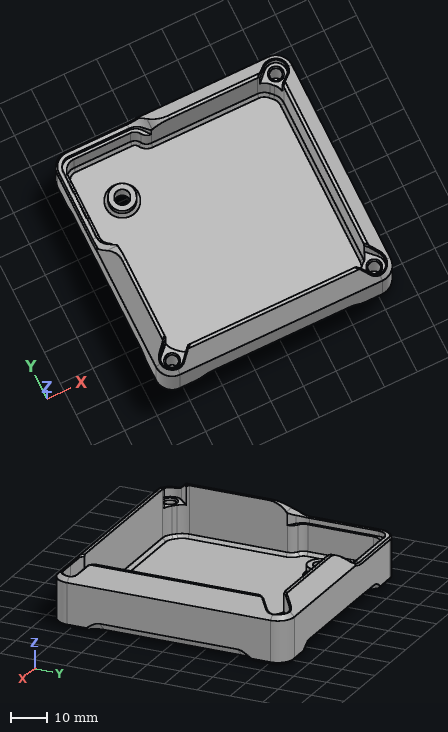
import cadquery as cq
import math

SIDE = 72.0
HEIGHT = 18.0
HALF = SIDE / 2
CORNER_RADIUS = 5.0
TOP_CHAMFER = 4.5
BOTTOM_CHAMFER = 1.0

WALL = 5.5
THIN_WALL = 2.65
FLOOR = 2.4
FLOOR_CHAMFER = 1.0
POST_CUT = 3.64
POST_BLEND_RADIUS = 4.5
THIN_CORNER_RADIUS = 3.5
STEP_LENGTH = 5.0
STEP_START_X = -HALF + 23.5
STEP_START_Y = HALF - 26.1

LOW_RIM = 13.1
RAMP_LENGTH = 10.6
LOW_RIM_CHAMFER = 0.5
LEDGE_HEIGHT = 11.5
LEDGE_WALL = 1.75
LEDGE_BEND_ANGLE = 52.5

POST_INSET = 5.0
POST_TOP = 12.0
POCKET_RADIUS = 3.25
POCKET_EDGE_CHAMFER = 0.5
SCREW_DIAMETER = 3.6
SCREW_MOUTH_DIAMETER = 4.5

BOSS_X = -21.8
BOSS_Y = 19.3
BOSS_DIAMETER = 8.0
BOSS_TOP = 5.7
BOSS_HOLE_DIAMETER = 4.5

RECESS_HEIGHT = 3.0
RECESS_HALF_LENGTH = 21.0
RECESS_TOP_RADIUS = 3.0

INNER = HALF - WALL
THIN_INNER = HALF - THIN_WALL
LEDGE_INNER = HALF - LEDGE_WALL


TOLERANCE = 1e-4


def make_body():
    body = cq.Workplane("XY").box(SIDE, SIDE, HEIGHT, centered=(True, True, False))
    body = body.edges("|Z").fillet(CORNER_RADIUS)
    return body.faces(">Z").chamfer(TOP_CHAMFER).faces("<Z").chamfer(BOTTOM_CHAMFER)


def s_curve_arcs(start, along, across):
    """Two equal tangent arcs leaving and arriving parallel to `along`; returns (mid, end) pairs.

    Lengths are fractions of the two vectors, so the curve ends at start + along + across.
    """
    sx, sy = start
    length = math.hypot(*along)
    rise = math.hypot(*across)
    radius = (length ** 2 + rise ** 2) / (4 * rise)
    half_angle = math.asin(length / 2 / radius) / 2
    run = radius * math.sin(half_angle) / length
    climb = radius * (1 - math.cos(half_angle)) / rise

    def point(u, v):
        return sx + along[0] * u + across[0] * v, sy + along[1] * u + across[1] * v

    return [(point(run, climb), point(0.5, 0.5)), (point(1 - run, 1 - climb), point(1, 1))]


def corner_region(sign_x, sign_y):
    """Selector for what is centred in one corner of the tray, far enough in to hold the post cuts."""
    reach = INNER - 2 * POST_CUT
    near = (sign_x * reach, sign_y * reach, 0)
    far = (sign_x * HALF, sign_y * HALF, HEIGHT)
    return cq.selectors.BoxSelector(near, far)


def make_cavity():
    step = WALL - THIN_WALL
    outline = cq.Workplane("XY", origin=(0, 0, FLOOR))
    outline = outline.moveTo(-THIN_INNER, THIN_INNER).lineTo(STEP_START_X, THIN_INNER)
    for mid, end in s_curve_arcs((STEP_START_X, THIN_INNER), (STEP_LENGTH, 0), (0, -step)):
        outline = outline.threePointArc(mid, end)
    outline = outline.lineTo(INNER - POST_CUT, INNER).lineTo(INNER, INNER - POST_CUT)
    outline = outline.lineTo(INNER, POST_CUT - INNER).lineTo(INNER - POST_CUT, -INNER)
    outline = outline.lineTo(POST_CUT - INNER, -INNER).lineTo(-INNER, POST_CUT - INNER)
    outline = outline.lineTo(-INNER, STEP_START_Y - STEP_LENGTH)
    for mid, end in s_curve_arcs((-INNER, STEP_START_Y - STEP_LENGTH), (0, STEP_LENGTH), (-step, 0)):
        outline = outline.threePointArc(mid, end)
    cavity = outline.close().extrude(HEIGHT - FLOOR)

    for signs in ((1, 1), (1, -1), (-1, -1)):
        cavity = cavity.edges("|Z").edges(corner_region(*signs)).fillet(POST_BLEND_RADIUS)
    cavity = cavity.edges("|Z").edges(corner_region(-1, 1)).fillet(THIN_CORNER_RADIUS)
    return cavity.faces("<Z").chamfer(FLOOR_CHAMFER)


def ramp_cut(plane, start, toward, far_end):
    """Everything above the low rim and the S-shaped ramp that climbs back to full height."""
    cut = cq.Workplane(plane).moveTo(far_end, LOW_RIM).lineTo(start, LOW_RIM)
    for mid, end in s_curve_arcs((start, LOW_RIM), (toward * RAMP_LENGTH, 0), (0, HEIGHT - LOW_RIM)):
        cut = cut.threePointArc(mid, end)
    return cut.lineTo(far_end, HEIGHT).close().extrude(WALL)


def lower_rim(body):
    back = ramp_cut(cq.Plane.XZ((0, HALF, 0)), STEP_START_X, 1, -HALF)
    side = ramp_cut(cq.Plane.YZ((-HALF, 0, 0)), STEP_START_Y, -1, HALF)
    return body.cut(back).cut(side)


def chamfer_low_rim(body):
    """Break the outer edge of the low rim; the tangent ramp edges are selected along with it."""
    low = LOW_RIM - LOW_RIM_CHAMFER
    high = LOW_RIM + LOW_RIM_CHAMFER
    back_end = (STEP_START_X + RAMP_LENGTH / 2, HALF - CORNER_RADIUS / 2)
    side_end = (-HALF + CORNER_RADIUS / 2, STEP_START_Y - RAMP_LENGTH / 2)
    back = cq.selectors.BoxSelector((-HALF, HALF, low), (*back_end, high))
    side = cq.selectors.BoxSelector((-HALF, HALF, low), (*side_end, high))
    return body.edges(back + side).chamfer(LOW_RIM_CHAMFER)


def make_ledge():
    """Strip of rim cleared down to the ledge; each end bends, then runs straight out to the thick wall."""
    bend = math.radians(LEDGE_BEND_ANGLE)
    drop = WALL - LEDGE_WALL
    radius = (STEP_LENGTH * math.sin(bend) - drop * math.cos(bend)) / (1 - math.cos(bend))
    bend_run = radius * math.sin(bend)
    bend_drop = radius * (1 - math.cos(bend))
    mid_run = radius * math.sin(bend / 2)
    mid_drop = radius * (1 - math.cos(bend / 2))

    ledge = cq.Workplane("XY", origin=(0, 0, LEDGE_HEIGHT))
    ledge = ledge.moveTo(-LEDGE_INNER, LEDGE_INNER).lineTo(STEP_START_X, LEDGE_INNER)
    ledge = ledge.threePointArc(
        (STEP_START_X + mid_run, LEDGE_INNER - mid_drop),
        (STEP_START_X + bend_run, LEDGE_INNER - bend_drop),
    )
    ledge = ledge.lineTo(STEP_START_X + STEP_LENGTH, INNER).lineTo(-INNER, INNER)
    ledge = ledge.lineTo(-INNER, STEP_START_Y - STEP_LENGTH)
    ledge = ledge.lineTo(-LEDGE_INNER + bend_drop, STEP_START_Y - bend_run)
    ledge = ledge.threePointArc(
        (-LEDGE_INNER + mid_drop, STEP_START_Y - mid_run),
        (-LEDGE_INNER, STEP_START_Y),
    )
    ledge = ledge.close().extrude(HEIGHT - LEDGE_HEIGHT)
    corner = cq.selectors.NearestToPointSelector((-LEDGE_INNER, LEDGE_INNER, (LEDGE_HEIGHT + HEIGHT) / 2))
    return ledge.edges(corner).fillet(CORNER_RADIUS - LEDGE_WALL)


def make_pocket():
    """Round-ended slot around a screw post, running along +X into the cavity."""
    r = POCKET_RADIUS
    reach = 2 * r
    slot = cq.Workplane("XY").moveTo(0, r).lineTo(reach, r).lineTo(reach, -r).lineTo(0, -r)
    return slot.threePointArc((-r, 0), (0, r)).close().extrude(HEIGHT - POST_TOP)


def make_screw_hole():
    mouth = (SCREW_MOUTH_DIAMETER - SCREW_DIAMETER) / 2
    hole = cq.Workplane("XY", origin=(0, 0, FLOOR)).circle(SCREW_DIAMETER / 2).extrude(POST_TOP - FLOOR)
    cone = cq.Workplane("XY", origin=(0, 0, POST_TOP)).circle(SCREW_MOUTH_DIAMETER / 2)
    return hole.union(cone.extrude(-mouth, taper=45))


def lies_on(edge, face):
    """True when sample points along the edge all lie on the face."""
    points = [edge.positionAt(t).toTuple() for t in (0.25, 0.5, 0.75)]
    return all(face.distance(cq.Vertex.makeVertex(*point)) < TOLERANCE for point in points)


def upper_pocket_edges(part, pocket):
    """Edges where the pocket's upright walls break out through the rim and its outer slope."""
    lowest = HEIGHT - TOP_CHAMFER
    walls = pocket.faces("not(<Z or >Z)").vals()
    found = []
    for edge in part.edges().vals():
        box = edge.BoundingBox()
        upright = max(box.xlen, box.ylen) < TOLERANCE
        if box.zmin < lowest or upright:
            continue
        if any(lies_on(edge, wall) for wall in walls):
            found.append(edge)
    return found


def cut_posts(body):
    centre = HALF - POST_INSET
    for x, y, angle in ((-centre, -centre, 45), (centre, -centre, 135), (centre, centre, 225)):
        pocket = make_pocket().rotate((0, 0, 0), (0, 0, 1), angle).translate((x, y, POST_TOP))
        body = body.cut(pocket)
        body = body.newObject(upper_pocket_edges(body, pocket)).chamfer(POCKET_EDGE_CHAMFER)
        body = body.cut(make_screw_hole().translate((x, y, 0)))
    return body


def add_boss(body):
    """Drilled boss whose foot flares out like the chamfer around the floor."""
    r = BOSS_DIAMETER / 2
    base = cq.Workplane("XY", origin=(BOSS_X, BOSS_Y, FLOOR)).circle(r + FLOOR_CHAMFER)
    boss = cq.Workplane("XY", origin=(BOSS_X, BOSS_Y, FLOOR)).circle(r).extrude(BOSS_TOP - FLOOR)
    body = body.union(base.extrude(FLOOR_CHAMFER, taper=45)).union(boss)
    hole = cq.Workplane("XY", origin=(BOSS_X, BOSS_Y, 0)).circle(BOSS_HOLE_DIAMETER / 2).extrude(BOSS_TOP)
    return body.cut(hole)


def cut_foot_recesses(body):
    bottom_radius = RECESS_TOP_RADIUS + RECESS_HEIGHT
    length = 2 * (RECESS_HALF_LENGTH + bottom_radius)
    recess = cq.Workplane("XY").center(0, -HALF - RECESS_TOP_RADIUS).slot2D(length, 2 * bottom_radius)
    recess = recess.extrude(RECESS_HEIGHT, taper=45)
    for angle in (0, 90, 180, 270):
        body = body.cut(recess.rotate((0, 0, 0), (0, 0, 1), angle))
    return body


body = lower_rim(make_body())
body = chamfer_low_rim(body)
body = body.cut(make_cavity()).cut(make_ledge())
body = cut_posts(body)
body = add_boss(body)
result = cut_foot_recesses(body)